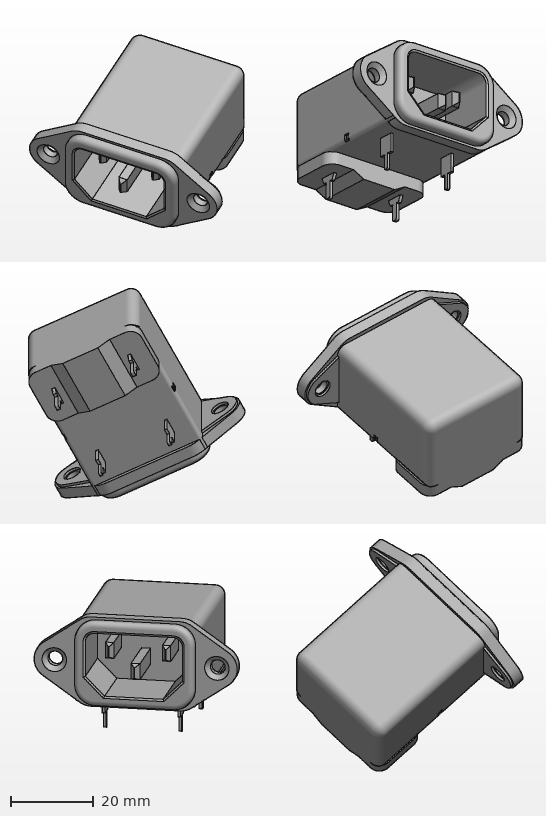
import cadquery as cq
import math


FLANGE_WIDTH = 50.0
FLANGE_HEIGHT = 22.5
FLANGE_THICKNESS = 3.0
FLANGE_SHOULDER_X = 12.5
FLANGE_ROUND = 5.0
EAR_X = FLANGE_WIDTH / 2 - FLANGE_ROUND
PAD_THICKNESS = 0.65
PAD_ROUND = 4.5
PAD_SHOULDER_X = 15.0
PAD_SHOULDER_Z = 7.55

SCREW_HOLE_DIAMETER = 3.6
COUNTERSINK_DIAMETER = 6.0
COUNTERSINK_ANGLE = 90.0
PAD_HOLE_DIAMETER = 4.5

SHROUD_WIDTH = 29.5
SHROUD_HEIGHT = 21.2
SHROUD_LENGTH = 2.5
SHROUD_CORNER = 5.1
SHROUD_RIM_FILLET = 1.3

CAVITY_WIDTH = 23.9
CAVITY_HEIGHT = 15.7
CAVITY_TOP_ROUND = 2.3
CAVITY_BEVEL = 4.75
CAVITY_DEPTH = 16.0
MOUTH_FLARE = 0.5
MOUTH_FLARE_DEPTH = 0.25
CAVITY_FLOOR_Y = CAVITY_DEPTH - SHROUD_LENGTH

CAN_WIDTH = 30.0
CAN_HEIGHT = 20.2
CAN_BACK_Y = 38.9
CAN_ROUND = 2.5
CAN_BOTTOM_ROUND = 1.0
CAN_BOTTOM_Z = -CAN_HEIGHT / 2

NOTCH_WIDTH = 1.4
NOTCH_DEPTH = 0.4
NOTCH_TOP_Z = -8.1
NOTCH_Y = 18.1
TAB_WIDTH = 0.85
TAB_HEIGHT = 1.1
TAB_TOP_Z = -8.35
TAB_RISE = 0.25

BASE_WIDTH = 30.2
BASE_LENGTH = 14.7
BASE_CORNER = 3.0
BASE_TOP_Z = -10.0
BASE_BOTTOM_Z = -13.35
KEEL_BOTTOM_Z = -15.0
KEEL_TOP_WIDTH = 15.9
KEEL_BOTTOM_WIDTH = 9.5

BLADE_HEIGHT = 4.0
BLADE_TAPER_LENGTH = 1.5
BLADE_TIP_INSET_Z = 0.65
LINE_BLADE_WIDTH = 2.0
LINE_BLADE_TIP_WIDTH = 0.3
LINE_BLADE_X = 7.0
LINE_BLADE_Z = 2.1
LINE_BLADE_TIP_Y = 1.9
EARTH_BLADE_WIDTH = 2.2
EARTH_BLADE_TIP_WIDTH = 0.15
EARTH_BLADE_Z = -1.85
EARTH_BLADE_TIP_Y = -1.6

SHOULDER_BOTTOM_Z = -15.0
REAR_LEG_X = 10.25
REAR_LEG_Y = 30.7
REAR_LEG_THICKNESS = 0.85
REAR_LEG_TOP_WIDTH = 4.7
REAR_LEG_SHOULDER_WIDTH = 3.1
REAR_LEG_PIN_WIDTH = 1.5
REAR_LEG_BOTTOM_Z = -19.45
FRONT_LEG_X = 9.3
FRONT_LEG_Y = 9.5
FRONT_LEG_THICKNESS = 0.7
FRONT_LEG_WIDTH = 4.0
FRONT_LEG_PIN_WIDTH = 1.2
FRONT_LEG_BOTTOM_Z = -19.1
LEG_TIP_ROUND = 0.45

SIDES = (-1, 1)


def facing_front(y):
    """Sketch plane at y, facing -Y, with local x = X and local y = Z."""
    return cq.Workplane("XZ", origin=(0, y, 0))


def ear_plate(shoulder_x, shoulder_z, ear_round, front_y, thickness):
    """Plate from shoulder to shoulder, with sides that run tangent into a round ear at each end."""
    run = EAR_X - shoulder_x
    slope = math.atan2(shoulder_z, run) - math.asin(ear_round / math.hypot(run, shoulder_z))
    tangent_x = EAR_X + ear_round * math.sin(slope)
    tangent_z = ear_round * math.cos(slope)
    return (
        facing_front(front_y)
        .moveTo(-shoulder_x, shoulder_z)
        .lineTo(shoulder_x, shoulder_z)
        .lineTo(tangent_x, tangent_z)
        .threePointArc((EAR_X + ear_round, 0), (tangent_x, -tangent_z))
        .lineTo(shoulder_x, -shoulder_z)
        .lineTo(-shoulder_x, -shoulder_z)
        .lineTo(-tangent_x, -tangent_z)
        .threePointArc((-EAR_X - ear_round, 0), (-tangent_x, tangent_z))
        .close()
        .extrude(-thickness)
    )


def make_flange():
    flange = ear_plate(FLANGE_SHOULDER_X, FLANGE_HEIGHT / 2, FLANGE_ROUND, 0, FLANGE_THICKNESS)
    shoulders = cq.selectors.BoxSelector(
        (-FLANGE_SHOULDER_X - 0.5, -0.5, -FLANGE_HEIGHT),
        (FLANGE_SHOULDER_X + 0.5, FLANGE_THICKNESS + 0.5, FLANGE_HEIGHT),
    )
    flange = flange.edges("|Y").edges(shoulders).fillet(FLANGE_ROUND)
    pad = ear_plate(PAD_SHOULDER_X, PAD_SHOULDER_Z, PAD_ROUND, FLANGE_THICKNESS, PAD_THICKNESS)
    return flange.union(pad)


def cut_screw_holes(body):
    centres = [(side * EAR_X, 0) for side in SIDES]
    pad_holes = (
        facing_front(FLANGE_THICKNESS)
        .pushPoints(centres)
        .circle(PAD_HOLE_DIAMETER / 2)
        .extrude(-PAD_THICKNESS)
    )
    return (
        body.copyWorkplane(facing_front(0))
        .pushPoints(centres)
        .cskHole(SCREW_HOLE_DIAMETER, COUNTERSINK_DIAMETER, COUNTERSINK_ANGLE)
        .cut(pad_holes)
    )


def make_shroud():
    return (
        facing_front(0)
        .rect(SHROUD_WIDTH, SHROUD_HEIGHT)
        .extrude(SHROUD_LENGTH)
        .edges("|Y").fillet(SHROUD_CORNER)
        .faces("<Y").edges().fillet(SHROUD_RIM_FILLET)
    )


def make_cavity():
    """Solid that fills the mouth: rounded upper corners, bevelled lower corners, flared rim."""
    straight = (
        facing_front(CAVITY_FLOOR_Y)
        .rect(CAVITY_WIDTH, CAVITY_HEIGHT)
        .extrude(CAVITY_DEPTH)
        .edges("|Y and >Z").fillet(CAVITY_TOP_ROUND)
        .edges("|Y and <Z").chamfer(CAVITY_BEVEL)
    )
    rim = straight.faces("<Y").wires().val()
    wide_rim = rim.offset2D(MOUTH_FLARE, "intersection")[0]
    narrow_rim = rim.translate(cq.Vector(0, MOUTH_FLARE_DEPTH, 0))
    flare = cq.Workplane(cq.Solid.makeLoft([wide_rim, narrow_rim], True))
    return straight.union(flare)


def make_can():
    can = cq.Workplane("XY").box(CAN_WIDTH, CAN_BACK_Y, CAN_HEIGHT, centered=(True, False, True))
    can = can.edges("(|Y and >Z) or (|Z and >Y) or (|X and >Y and >Z)").fillet(CAN_ROUND)
    rounded_bottom = (
        facing_front(0)
        .rect(CAN_WIDTH, CAN_HEIGHT)
        .extrude(-CAN_BACK_Y)
        .edges("|Y and <Z").fillet(CAN_BOTTOM_ROUND)
    )
    return can.intersect(rounded_bottom)


def cut_notches(body):
    height = NOTCH_TOP_Z - BASE_BOTTOM_Z
    notches = (
        cq.Workplane("XY", origin=(0, NOTCH_Y, NOTCH_TOP_Z - height / 2))
        .pushPoints([(side * CAN_WIDTH / 2, 0) for side in SIDES])
        .box(2 * NOTCH_DEPTH, NOTCH_WIDTH, height)
    )
    tab_x = CAN_WIDTH / 2 - NOTCH_DEPTH
    tabs = (
        cq.Workplane("XY", origin=(0, NOTCH_Y, TAB_TOP_Z - TAB_HEIGHT / 2))
        .pushPoints([(side * tab_x, 0) for side in SIDES])
        .box(2 * TAB_RISE, TAB_WIDTH, TAB_HEIGHT)
    )
    return body.cut(notches.cut(tabs))


def make_base():
    middle_y = CAN_BACK_Y - BASE_LENGTH / 2
    slab = (
        cq.Workplane("XY", origin=(0, middle_y, BASE_BOTTOM_Z))
        .rect(BASE_WIDTH, BASE_LENGTH)
        .extrude(BASE_TOP_Z - BASE_BOTTOM_Z)
        .edges("|Z").fillet(BASE_CORNER)
    )
    keel = (
        facing_front(CAN_BACK_Y)
        .polyline([
            (-KEEL_TOP_WIDTH / 2, BASE_BOTTOM_Z),
            (KEEL_TOP_WIDTH / 2, BASE_BOTTOM_Z),
            (KEEL_BOTTOM_WIDTH / 2, KEEL_BOTTOM_Z),
            (-KEEL_BOTTOM_WIDTH / 2, KEEL_BOTTOM_Z),
        ])
        .close()
        .extrude(BASE_LENGTH)
    )
    return slab.union(keel)


def make_housing():
    housing = make_flange().union(make_can()).union(make_base()).union(make_shroud())
    housing = cut_screw_holes(housing)
    housing = cut_notches(housing)
    return housing.cut(make_cavity())


def make_blade(x, z, width, tip_width, tip_y):
    """Flat contact that stands on the cavity floor and tapers to a narrow tip."""
    shoulder_y = tip_y + BLADE_TAPER_LENGTH
    bar = (
        facing_front(CAVITY_FLOOR_Y)
        .center(x, z)
        .rect(width, BLADE_HEIGHT)
        .extrude(CAVITY_FLOOR_Y - shoulder_y)
    )
    tip = (
        facing_front(shoulder_y)
        .center(x, z)
        .rect(width, BLADE_HEIGHT)
        .workplane(offset=BLADE_TAPER_LENGTH)
        .rect(tip_width, BLADE_HEIGHT - 2 * BLADE_TIP_INSET_Z)
        .loft(ruled=True)
    )
    return bar.union(tip)


def make_leg(x, y, thickness, top_z, top_width, shoulder_width, pin_width, bottom_z):
    """Flat solder leg: a wide shoulder under the housing, then a narrow pin with a rounded tip."""
    half_outline = [
        (top_width / 2, top_z),
        (shoulder_width / 2, SHOULDER_BOTTOM_Z),
        (pin_width / 2, SHOULDER_BOTTOM_Z),
        (pin_width / 2, bottom_z),
    ]
    mirrored = [(-across, z) for across, z in reversed(half_outline)]
    return (
        cq.Workplane("YZ", origin=(x, y, 0))
        .polyline(half_outline + mirrored)
        .close()
        .extrude(thickness / 2, both=True)
        .edges("|X and <Z").fillet(LEG_TIP_ROUND)
    )


def make_rear_leg(side):
    return make_leg(
        side * REAR_LEG_X, REAR_LEG_Y, REAR_LEG_THICKNESS, BASE_BOTTOM_Z, REAR_LEG_TOP_WIDTH,
        REAR_LEG_SHOULDER_WIDTH, REAR_LEG_PIN_WIDTH, REAR_LEG_BOTTOM_Z,
    )


def make_front_leg(side):
    return make_leg(
        side * FRONT_LEG_X, FRONT_LEG_Y, FRONT_LEG_THICKNESS, CAN_BOTTOM_Z, FRONT_LEG_WIDTH,
        FRONT_LEG_WIDTH, FRONT_LEG_PIN_WIDTH, FRONT_LEG_BOTTOM_Z,
    )


housing = make_housing()
earth_blade = make_blade(0, EARTH_BLADE_Z, EARTH_BLADE_WIDTH, EARTH_BLADE_TIP_WIDTH, EARTH_BLADE_TIP_Y)
line_blades = [
    make_blade(side * LINE_BLADE_X, LINE_BLADE_Z, LINE_BLADE_WIDTH, LINE_BLADE_TIP_WIDTH, LINE_BLADE_TIP_Y)
    for side in SIDES
]
rear_legs = [make_rear_leg(side) for side in SIDES]
front_legs = [make_front_leg(side) for side in SIDES]

bodies = [housing, earth_blade, *line_blades, *rear_legs, *front_legs]
result = cq.Compound.makeCompound([body.solids().val() for body in bodies])